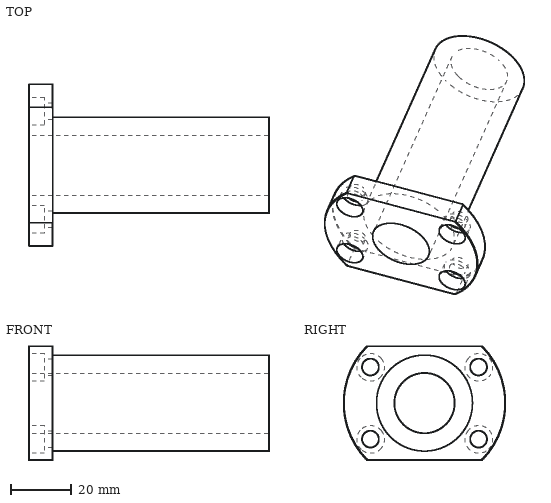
import cadquery as cq

total_length = 80.0
body_diameter = 32.0
bore_diameter = 20.0

flange_diameter = 54.0
flange_height = 38.0
flange_thickness = 8.0
rim_chamfer = 0.2

hole_diameter = 5.5
counterbore_diameter = 9.2
counterbore_depth = 5.1
hole_spacing_y = 36.0
hole_spacing_z = 24.0


def make_flange():
    disc = cq.Workplane("YZ").circle(flange_diameter / 2).extrude(flange_thickness)
    disc = disc.edges().chamfer(rim_chamfer)
    flats = cq.Workplane("YZ").rect(flange_diameter, flange_height).extrude(flange_thickness)
    return disc.intersect(flats)


def make_body():
    return cq.Workplane("YZ").circle(body_diameter / 2).extrude(total_length)


def make_bore():
    return cq.Workplane("YZ").circle(bore_diameter / 2).extrude(total_length)


def make_mounting_holes():
    pattern = cq.Workplane("YZ").rect(hole_spacing_y, hole_spacing_z, forConstruction=True).vertices()
    holes = pattern.circle(hole_diameter / 2).extrude(flange_thickness)
    counterbores = pattern.circle(counterbore_diameter / 2).extrude(counterbore_depth)
    return holes.union(counterbores)


result = make_flange().union(make_body()).cut(make_bore()).cut(make_mounting_holes())